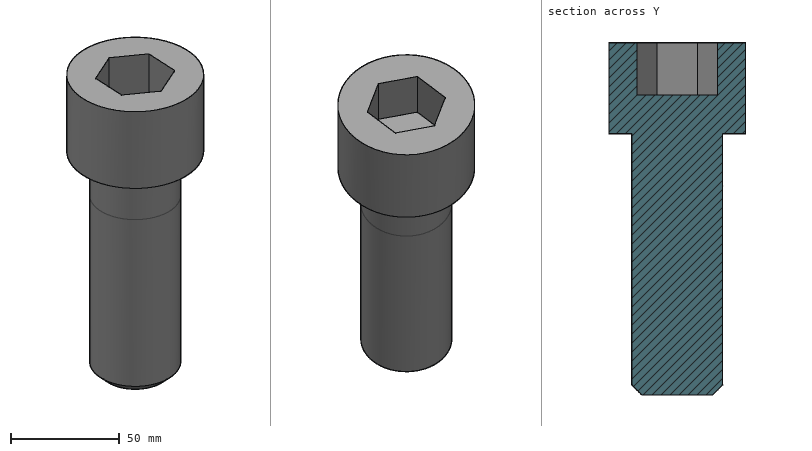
import cadquery as cq

total_length = 162.0
head_diameter = 63.0
head_to_shank_ratio = 1.5
shank_diameter = head_diameter / head_to_shank_ratio
head_height = shank_diameter
thread_length = 96.0
tip_chamfer = 4.7
socket_across_corners = 37.0
socket_depth = 24.0

shank_length = total_length - head_height
plain_length = shank_length - thread_length

thread = (
    cq.Workplane("XY")
    .circle(shank_diameter / 2)
    .extrude(thread_length)
    .faces("<Z")
    .chamfer(tip_chamfer)
)

plain_shank = (
    cq.Workplane("XY", origin=(0, 0, thread_length))
    .circle(shank_diameter / 2)
    .extrude(plain_length)
)

head = (
    cq.Workplane("XY", origin=(0, 0, shank_length))
    .circle(head_diameter / 2)
    .extrude(head_height)
)

socket = (
    cq.Workplane("XY", origin=(0, 0, total_length))
    .polygon(6, socket_across_corners)
    .extrude(-socket_depth)
)

result = thread.union(plain_shank, clean=False).union(head, clean=False).cut(socket, clean=False)